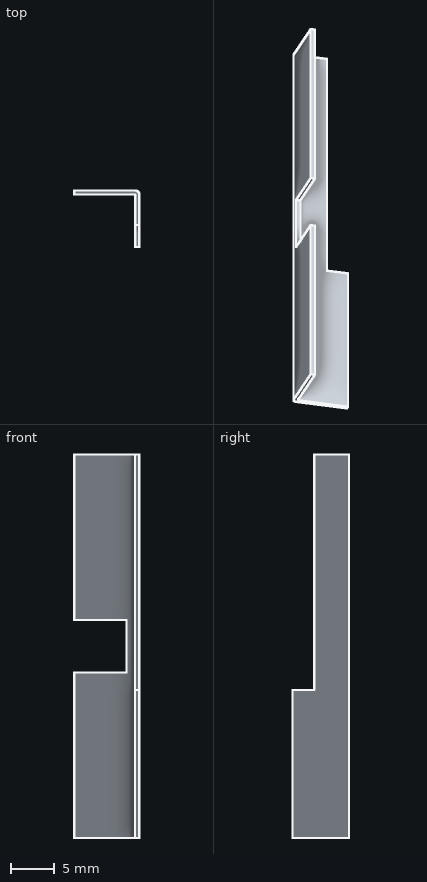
import cadquery as cq

height = 44.0
thickness = 0.5
back_width = 7.5
side_width = 6.5
upper_side_width = 4.0
step_height = 17.0
bend_radius = thickness

notch_depth = 6.0
notch_height = 6.0
notch_bottom = (height - notch_height) / 2


def make_angle():
    """Full-height L section with a rounded outer corner."""
    section = (
        cq.Workplane("XY")
        .moveTo(-back_width, 0)
        .lineTo(-bend_radius, 0)
        .radiusArc((0, -bend_radius), bend_radius)
        .lineTo(0, -side_width)
        .lineTo(-thickness, -side_width)
        .lineTo(-thickness, -thickness)
        .lineTo(-back_width, -thickness)
        .close()
    )
    return section.extrude(height)


def make_back_notch():
    """Block that cuts the notch through the back leg."""
    return (
        cq.Workplane("XY")
        .box(notch_depth, thickness, notch_height, centered=False)
        .translate((-back_width, -thickness, notch_bottom))
    )


def make_side_step():
    """Block that narrows the side leg above the step."""
    return (
        cq.Workplane("XY")
        .box(thickness, side_width - upper_side_width, height - step_height, centered=False)
        .translate((-thickness, -side_width, step_height))
    )


result = make_angle().cut(make_back_notch()).cut(make_side_step())